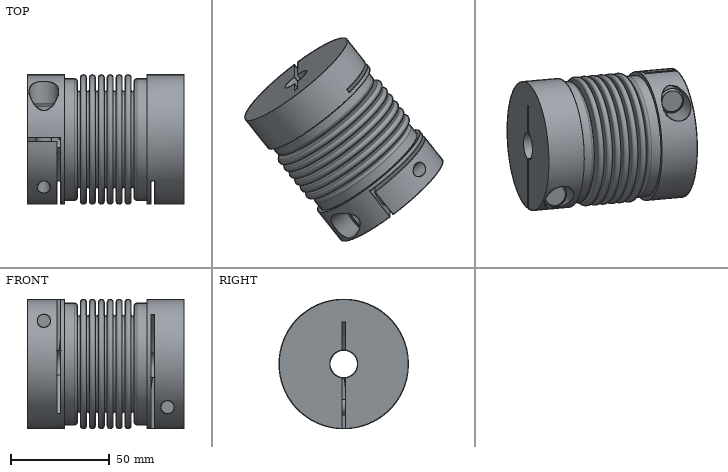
import cadquery as cq
import math


length = 80.0
outer_radius = 66.0 / 2
bore_radius = 7.0
half_length = length / 2

hub_length = 19.0
hub_inner_x = half_length - hub_length

wave_count = 6
wave_pitch = 4.6
crest_radius = 1.5
root_radius = wave_pitch / 2 - crest_radius
root_bottom_radius = 24.5
collar_radius = 31.0
collar_round = crest_radius
collar_face_x = wave_count * wave_pitch / 2 + root_radius

saw_radius = 50.0
saw_width = 2.0
saw_center_z = 16.3
cross_cut_start = 15.0
cross_cut_end = cross_cut_start + saw_width

screw_offset = 8.5
screw_z = 22.0
shank_radius = 4.0
shank_length = 25.0
head_radius = 6.5
head_height = 8.0
head_chamfer = 1.0
head_seat_y = 10.0
tip_y = head_seat_y - shank_length
thread_radius = 3.4
counterbore_radius = 7.5


def rod_along_y(radius, start_y, end_y):
    """Cylinder on the left hub's screw axis."""
    start = cq.Vector(screw_offset - half_length, start_y, screw_z)
    return cq.Workplane(cq.Solid.makeCylinder(radius, end_y - start_y, start, cq.Vector(0, 1, 0)))


def saw_sweep(plane, edge):
    """Space swept by a round saw that plunges straight down, its rim reaching `edge` sideways.

    The plane is the middle of the saw blade, with the sideways direction first and Z second.
    """
    center_u = edge - saw_radius
    travel = 2 * outer_radius
    disc = (
        cq.Workplane(plane)
        .center(center_u, saw_center_z)
        .circle(saw_radius)
        .extrude(saw_width / 2, both=True)
    )
    path = (
        cq.Workplane(plane)
        .center(center_u, saw_center_z + travel / 2)
        .rect(2 * saw_radius, travel)
        .extrude(saw_width / 2, both=True)
    )
    return disc.union(path)


def hub():
    """Left hub with its saw cuts, screw holes and screw."""
    body = (
        cq.Workplane("YZ", origin=(-half_length, 0, 0))
        .circle(outer_radius)
        .circle(bore_radius)
        .extrude(hub_length)
    )

    lengthwise_plane = cq.Plane.named("XZ")
    cross_plane = cq.Plane.named("YZ", origin=(cross_cut_end - saw_width / 2 - half_length, 0, 0))
    body = body.cut(saw_sweep(lengthwise_plane, cross_cut_end - half_length))
    body = body.cut(saw_sweep(cross_plane, saw_width / 2))

    body = body.cut(rod_along_y(counterbore_radius, head_seat_y, outer_radius))
    body = body.cut(rod_along_y(thread_radius, -outer_radius, tip_y))

    shank = rod_along_y(shank_radius, tip_y, head_seat_y)
    head = rod_along_y(head_radius, head_seat_y, head_seat_y + head_height)
    head = head.faces(">Y").chamfer(head_chamfer)
    return body.union(shank).union(head)


def bellows():
    """Corrugated middle section with a rounded collar at each end."""
    crest_center = outer_radius - crest_radius
    root_center = root_bottom_radius + root_radius
    corner = collar_round * math.sqrt(0.5)
    round_center = collar_radius - collar_round
    outline = (
        cq.Workplane("XY")
        .moveTo(-hub_inner_x, bore_radius)
        .lineTo(-hub_inner_x, collar_radius)
        .lineTo(-collar_face_x - collar_round, collar_radius)
        .threePointArc(
            (-collar_face_x - collar_round + corner, round_center + corner),
            (-collar_face_x, round_center),
        )
        .lineTo(-collar_face_x, root_center)
    )
    for wave in range(wave_count):
        crest_x = (wave - (wave_count - 1) / 2) * wave_pitch
        outline = (
            outline
            .threePointArc(
                (crest_x - wave_pitch / 2, root_bottom_radius),
                (crest_x - crest_radius, root_center),
            )
            .lineTo(crest_x - crest_radius, crest_center)
            .threePointArc((crest_x, outer_radius), (crest_x + crest_radius, crest_center))
            .lineTo(crest_x + crest_radius, root_center)
        )
    outline = (
        outline
        .threePointArc((collar_face_x - root_radius, root_bottom_radius), (collar_face_x, root_center))
        .lineTo(collar_face_x, round_center)
        .threePointArc(
            (collar_face_x + collar_round - corner, round_center + corner),
            (collar_face_x + collar_round, collar_radius),
        )
        .lineTo(hub_inner_x, collar_radius)
        .lineTo(hub_inner_x, bore_radius)
        .close()
    )
    return outline.revolve(360, (0, 0, 0), (1, 0, 0))


left_hub = hub()
right_hub = left_hub.rotate((0, 0, 0), (0, 1, 0), 180)
result = bellows().union(left_hub).union(right_hub)